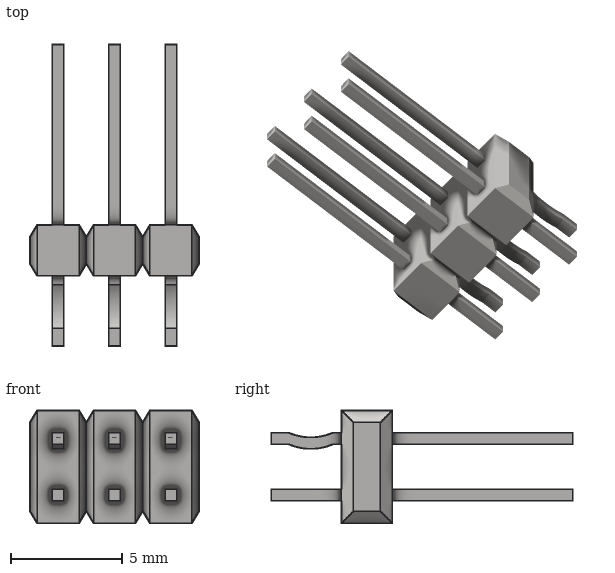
import cadquery as cq

columns = 3
pitch = 2.54
block_depth = 2.3
block_height = 2 * pitch
bevel_width = 0.33
bevel_inset = 0.55

pin_side = 0.53
pin_length = 13.59
front_reach = 3.17

bend_start = 0.4
bend_length = 1.97
bend_drop = 0.2

block_front = -block_depth / 2
pin_front = block_front - front_reach
pin_back = pin_front + pin_length
bend_near = block_front - bend_start
bend_far = bend_near - bend_length
bend_middle = (bend_near + bend_far) / 2


def make_block():
    """Housing block centred on the origin, with both X ends tapered on four sides."""
    core_half = pitch / 2 - bevel_width
    block = cq.Workplane("YZ").box(block_depth, block_height, 2 * core_half)
    for direction in (1, -1):
        end = (
            cq.Workplane("YZ", origin=(direction * core_half, 0, 0))
            .rect(block_depth, block_height)
            .workplane(offset=direction * bevel_width)
            .rect(block_depth - 2 * bevel_inset, block_height - 2 * bevel_inset)
            .loft(ruled=True)
        )
        block = block.union(end)
    return block


def make_straight_pin():
    """Square pin along Y, centred on X and Z."""
    return (
        cq.Workplane("XZ", origin=(0, pin_back, 0))
        .rect(pin_side, pin_side)
        .extrude(pin_length)
    )


def make_bent_pin():
    """Square pin along Y whose front part dips downward in a shallow arc."""
    top = pin_side / 2
    bottom = -top
    return (
        cq.Workplane("YZ")
        .moveTo(pin_back, top)
        .lineTo(bend_near, top)
        .threePointArc((bend_middle, top - bend_drop), (bend_far, top))
        .lineTo(pin_front, top)
        .lineTo(pin_front, bottom)
        .lineTo(bend_far, bottom)
        .threePointArc((bend_middle, bottom - bend_drop), (bend_near, bottom))
        .lineTo(pin_back, bottom)
        .close()
        .extrude(pin_side / 2, both=True)
    )


row_height = pitch / 2
column = (
    make_block()
    .union(make_bent_pin().translate((0, 0, row_height)))
    .union(make_straight_pin().translate((0, 0, -row_height)))
)

first_x = -(columns - 1) * pitch / 2
result = column.translate((first_x, 0, 0))
for index in range(1, columns):
    result = result.union(column.translate((first_x + index * pitch, 0, 0)))